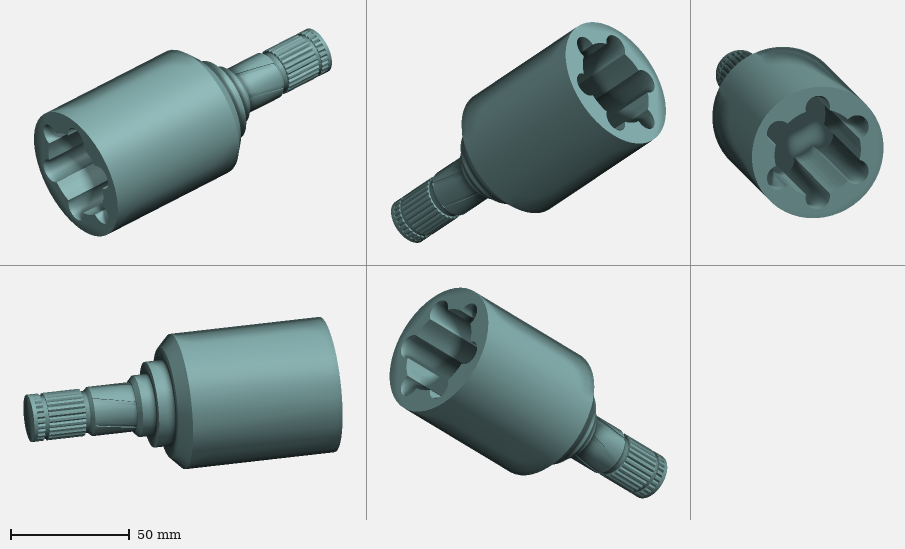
import cadquery as cq
import math

total_length = 129.2

cup_diameter = 57.5
cup_straight_length = 64.9
cup_length = 69.9
cup_chamfer = cup_length - cup_straight_length

flange_diameter = 36.4
flange_end = 77.0
collar_diameter = 26.2
collar_end = 84.8
collar_chamfer = 2.0
shank_diameter = 20.9
shank_end = 104.5
shank_chamfer = 1.7
neck_diameter = 17.8
neck_end = 106.6
spline_diameter = 20.2

ring_groove_diameter = 18.5
ring_groove_start = 122.5
ring_groove_end = 124.3

spline_count = 25
spline_end = 127.5
spline_root_diameter = 18.6
spline_groove_half_angle = 4.3
spline_phase = 90 + 180 / spline_count

helix_groove_count = 6
helix_groove_half_angle = 4.6
helix_groove_depth = 0.4
helix_twist_per_length = 1.161
helix_angle_at_collar = 85.0

bore_diameter = 37.7
bore_depth = 58.1
track_count = 6
track_diameter = 10.6
track_circle_diameter = 39.0


def frontal_plane(y):
    """Sketch plane across the axis at position y: local x is X, local y is Z, normal is -Y."""
    return cq.Workplane("XZ", origin=(0, y, 0))


def polar(radius, angle):
    a = math.radians(angle)
    return radius * math.cos(a), radius * math.sin(a)


def turned_body():
    cup_r = cup_diameter / 2
    collar_r = collar_diameter / 2
    shank_r = shank_diameter / 2
    profile = [
        (0, 0),
        (cup_r, 0),
        (cup_r, cup_straight_length),
        (cup_r - cup_chamfer, cup_length),
        (flange_diameter / 2, cup_length),
        (flange_diameter / 2, flange_end),
        (collar_r, flange_end),
        (collar_r, collar_end - collar_chamfer),
        (collar_r - collar_chamfer, collar_end),
        (shank_r, collar_end),
        (shank_r, shank_end - shank_chamfer),
        (neck_diameter / 2, shank_end),
        (neck_diameter / 2, neck_end),
        (spline_diameter / 2, neck_end),
        (spline_diameter / 2, ring_groove_start),
        (ring_groove_diameter / 2, ring_groove_start),
        (ring_groove_diameter / 2, ring_groove_end),
        (spline_diameter / 2, ring_groove_end),
        (spline_diameter / 2, total_length),
        (0, total_length),
    ]
    return cq.Workplane("XY").polyline(profile).close().revolve(360, (0, 0), (0, 1))


def bore_cutter():
    cutter = frontal_plane(0).circle(bore_diameter / 2).extrude(-bore_depth)
    tracks = (
        frontal_plane(0)
        .polarArray(track_circle_diameter / 2, 90, 360, track_count)
        .circle(track_diameter / 2)
        .extrude(-bore_depth)
    )
    return cutter.union(tracks)


def spline_cutters():
    outer_r = spline_diameter / 2
    grooves = frontal_plane(neck_end)
    for i in range(spline_count):
        mid = spline_phase + i * 360 / spline_count
        root = polar(spline_root_diameter / 2, mid)
        left = polar(outer_r, mid - spline_groove_half_angle)
        right = polar(outer_r, mid + spline_groove_half_angle)
        over_left = tuple(2 * e - r for e, r in zip(left, root))
        over_right = tuple(2 * e - r for e, r in zip(right, root))
        grooves = grooves.polyline([root, over_left, over_right]).close()
    return grooves.extrude(neck_end - spline_end)


def helical_cutters():
    floor_r = shank_diameter / 2 - helix_groove_depth
    over_r = shank_diameter / 2 + helix_groove_depth
    groove_end = shank_end - shank_chamfer
    length = groove_end - collar_end
    twist = helix_twist_per_length * length
    grooves = frontal_plane(groove_end)
    for i in range(helix_groove_count):
        mid = helix_angle_at_collar - twist + i * 360 / helix_groove_count
        low = mid - helix_groove_half_angle
        high = mid + helix_groove_half_angle
        grooves = (
            grooves.moveTo(*polar(floor_r, low))
            .threePointArc(polar(floor_r, mid), polar(floor_r, high))
            .lineTo(*polar(over_r, high))
            .threePointArc(polar(over_r, mid), polar(over_r, low))
            .close()
        )
    return grooves.twistExtrude(length, twist)


result = turned_body().cut(bore_cutter()).cut(spline_cutters()).cut(helical_cutters())